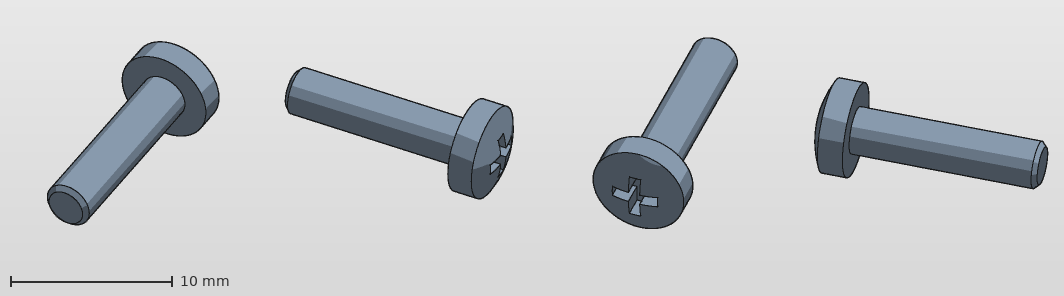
import cadquery as cq
import math

overall_length = 14.36
head_diameter = 6.0
shank_diameter = head_diameter / 2
shank_length = 11.99
rim_height = 1.61
tip_chamfer = 0.3

recess_width = 0.75
recess_span = head_diameter / 2
recess_depth = 1.5

head_radius = head_diameter / 2
shank_radius = shank_diameter / 2
tip_y = -overall_length / 2
underside_y = tip_y + shank_length
rim_y = underside_y + rim_height
crown_y = overall_length / 2

corner_radius = math.hypot(recess_width / 2, recess_width / 2)
corner_rise = crown_y - rim_y
dome_centre_y = rim_y + (
    corner_radius**2 + corner_rise**2 - head_radius**2
) / (2 * corner_rise)
dome_radius = math.hypot(head_radius, rim_y - dome_centre_y)
apex_y = dome_centre_y + dome_radius


def dome_point(radius):
    """Point of the dome profile at a distance from the screw axis."""
    return radius, dome_centre_y + math.sqrt(dome_radius**2 - radius**2)


def make_body():
    """Shank, rim and domed head revolved about the Y axis."""
    return (
        cq.Workplane("XY")
        .moveTo(0, tip_y)
        .lineTo(shank_radius - tip_chamfer, tip_y)
        .lineTo(shank_radius, tip_y + tip_chamfer)
        .lineTo(shank_radius, underside_y)
        .lineTo(head_radius, underside_y)
        .lineTo(head_radius, rim_y)
        .threePointArc(dome_point(head_radius / 2), (0, apex_y))
        .close()
        .revolve(360, (0, 0, 0), (0, 1, 0))
    )


def make_recess():
    """Two crossed bars, sunk into the head from its apex."""
    floor_y = crown_y - recess_depth
    bar_height = apex_y - floor_y
    bar_centre = (0, floor_y + bar_height / 2, 0)
    bar_x = cq.Workplane("XY").box(recess_span, bar_height, recess_width)
    bar_z = cq.Workplane("XY").box(recess_width, bar_height, recess_span)
    return bar_x.union(bar_z).translate(bar_centre)


result = make_body().cut(make_recess())